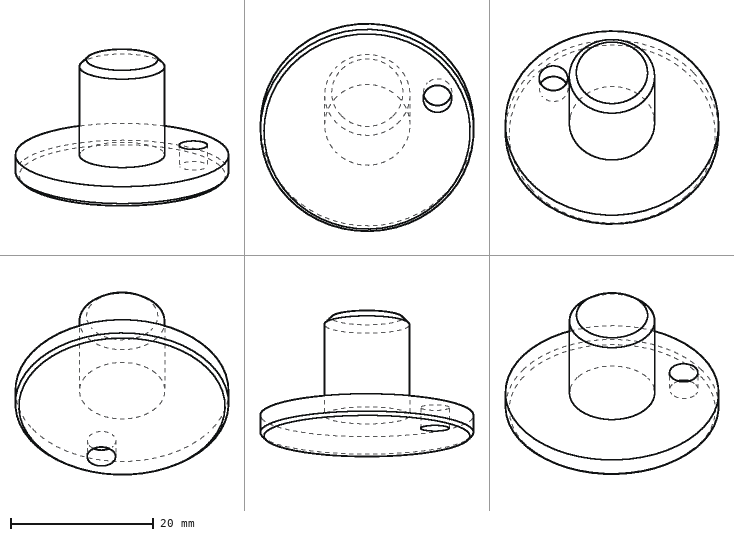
import cadquery as cq

flange_diameter = 30.0
flange_thickness = 3.0
flange_chamfer = 0.5

total_height = 17.0
pin_diameter = 12.0
pin_chamfer = 1.0
pin_height = total_height - flange_thickness

hole_diameter = 4.0
hole_offset = 11.0


def make_flange():
    """Disc on the XY plane with a chamfered lower rim and one through hole."""
    disc = cq.Workplane("XY").circle(flange_diameter / 2).extrude(flange_thickness)
    disc = disc.faces("<Z").edges().chamfer(flange_chamfer)
    hole = (
        cq.Workplane("XY")
        .center(0, hole_offset)
        .circle(hole_diameter / 2)
        .extrude(flange_thickness)
    )
    return disc.cut(hole)


def make_pin():
    """Cylinder standing on the flange with a chamfered top."""
    pin = (
        cq.Workplane("XY")
        .workplane(offset=flange_thickness)
        .circle(pin_diameter / 2)
        .extrude(pin_height)
    )
    return pin.faces(">Z").edges().chamfer(pin_chamfer)


result = make_flange().union(make_pin())